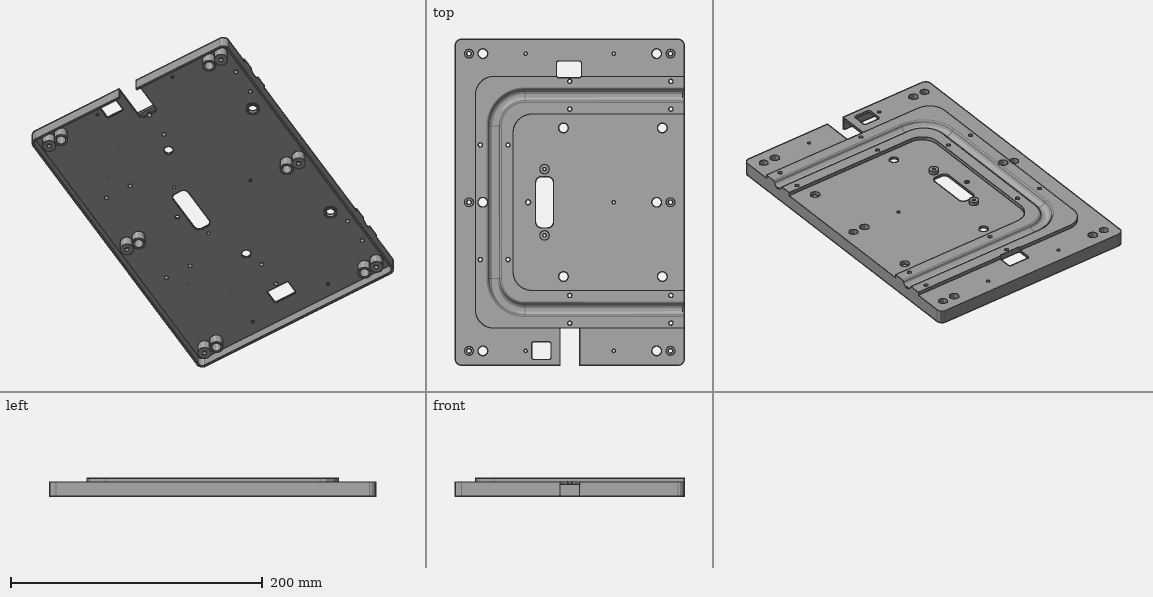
import cadquery as cq
import math

LENGTH = 182.0
WIDTH = 259.0
TRAY_HEIGHT = 11.5
DECK_THICKNESS = 2.0
WALL_THICKNESS = 1.5
CORNER_RADIUS = 5.0
X_END = LENGTH / 2
DECK_UNDERSIDE = TRAY_HEIGHT - DECK_THICKNESS

TRACK_HEIGHT = 3.0
TRACK_TOP = TRAY_HEIGHT + TRACK_HEIGHT
TRACK_WIDTH = 30.0
TRACK_CORNER_RADIUS = 15.0
TRACK_X = -60.0
TRACK_Y = 85.0
GROOVE_HALF_WIDTH = 4.4
GROOVE_DEPTH = 4.5
GROOVE_LIP_RADIUS = 1.3
GROOVE_BEND_RADIUS = 24.3

TRACK_HOLE_DIAMETER = 3.2
TRACK_HOLE_OFFSET = 11.0
TRACK_HOLE_XS = (0.0, 80.3)
TRACK_HOLE_Y = 45.5

SCREW_X = 80.0
LOCATING_X = 69.0
STATION_YS = (-118.0, 0.0, 118.0)
LOCATING_DIAMETER = 7.5
SCREW_DIAMETER = 3.5
COUNTERBORE_DIAMETER = 7.0
COUNTERBORE_DEPTH = 7.5
POST_DIAMETER = 10.5

PILOT_DIAMETER = 2.5
PILOT_POINTS = [(-35, 118), (35, 118), (-35, -118), (35, -118), (35, 0)]
CENTRE_HOLE_DIAMETER = 3.8
CENTRE_HOLE_X = -33.0
ACCESS_DIAMETER = 7.5
ACCESS_PLAIN_X = -5.0
ACCESS_BOSS_X = 73.5
ACCESS_Y = 59.0
ACCESS_BOSS_DIAMETER = 10.5
ACCESS_BOSS_DEPTH = 3.5

WINDOW_X = -20.0
WINDOW_WIDTH = 14.0
WINDOW_LENGTH = 40.5
WINDOW_CORNER_RADIUS = 4.5
STANDOFF_Y = 26.3
STANDOFF_DIAMETER = 7.5
STANDOFF_HEIGHT = TRACK_HEIGHT
STANDOFF_HOLE_DIAMETER = 2.5

UPPER_PORT = (-10.5, 9.2, 99.0, 112.0)
LOWER_PORT = (-30.1, -15.0, -124.8, -110.8)
PORT_CORNER_RADIUS = 1.5

NOTCH_Y_MAX = -96.5
NOTCH_CORNER_RADIUS = 3.0
NOTCH_X_MIN = -7.7
NOTCH_X_MAX = 7.9


def u_block(x_min, half_width, radius, z_min, height):
    """Block reaching the +X end, with its two -X corners rounded."""
    block = cq.Workplane("XY").box(X_END - x_min, 2 * half_width, height, centered=(False, True, False))
    return block.edges("|Z and <X").fillet(radius).translate((x_min, 0, z_min))


def prism(x_min, x_max, y_min, y_max):
    """Rectangular cutter through the whole height."""
    cutter = cq.Workplane("XY").box(x_max - x_min, y_max - y_min, TRACK_TOP, centered=False)
    return cutter.translate((x_min, y_min, 0))


def cylinders(points, diameter, z_min, z_max):
    """Upright cylinders at the given points."""
    plane = cq.Workplane("XY").workplane(offset=z_min)
    return plane.pushPoints(points).circle(diameter / 2).extrude(z_max - z_min)


def make_tray():
    outer = cq.Workplane("XY").box(LENGTH, WIDTH, TRAY_HEIGHT, centered=(True, True, False))
    outer = outer.edges("|Z").fillet(CORNER_RADIUS)
    inner = cq.Workplane("XY").box(
        LENGTH - 2 * WALL_THICKNESS, WIDTH - 2 * WALL_THICKNESS, DECK_UNDERSIDE, centered=(True, True, False)
    )
    inner = inner.edges("|Z").fillet(CORNER_RADIUS - WALL_THICKNESS)
    return outer.cut(inner)


def make_track():
    half = TRACK_WIDTH / 2
    outer = u_block(TRACK_X - half, TRACK_Y + half, TRACK_CORNER_RADIUS, TRAY_HEIGHT, TRACK_HEIGHT)
    inner = u_block(TRACK_X + half, TRACK_Y - half, TRACK_CORNER_RADIUS, TRAY_HEIGHT, TRACK_HEIGHT)
    return outer.cut(inner)


def groove_path():
    """Centre line of the groove along the top of the track."""
    bend_x = TRACK_X + GROOVE_BEND_RADIUS
    bend_y = TRACK_Y - GROOVE_BEND_RADIUS
    mid = GROOVE_BEND_RADIUS * math.sqrt(0.5)
    return (
        cq.Workplane("XY", origin=(0, 0, TRACK_TOP))
        .moveTo(X_END, TRACK_Y)
        .lineTo(bend_x, TRACK_Y)
        .threePointArc((bend_x - mid, bend_y + mid), (TRACK_X, bend_y))
        .lineTo(TRACK_X, -bend_y)
        .threePointArc((bend_x - mid, -bend_y - mid), (bend_x, -TRACK_Y))
        .lineTo(X_END, -TRACK_Y)
    )


def make_groove():
    """Cutter for the rounded channel, whose lips flare out through a small radius."""
    half = GROOVE_HALF_WIDTH
    lip = GROOVE_LIP_RADIUS
    bow = lip * (1 - math.sqrt(0.5))
    section = (
        cq.Workplane("YZ", origin=(X_END, TRACK_Y, TRACK_TOP))
        .moveTo(-half - lip, 0)
        .threePointArc((-half - bow, -bow), (-half, -lip))
        .threePointArc((0, -GROOVE_DEPTH), (half, -lip))
        .threePointArc((half + bow, -bow), (half + lip, 0))
        .close()
    )
    return section.sweep(groove_path())


def add_mounting_stations(body):
    screws = [(side * SCREW_X, y) for side in (-1, 1) for y in STATION_YS]
    locators = [(side * LOCATING_X, y) for side in (-1, 1) for y in STATION_YS]
    body = body.union(cylinders(screws + locators, POST_DIAMETER, 0, TRAY_HEIGHT))
    body = body.cut(cylinders(screws, SCREW_DIAMETER, 0, TRACK_TOP))
    body = body.cut(cylinders(screws, COUNTERBORE_DIAMETER, TRAY_HEIGHT - COUNTERBORE_DEPTH, TRACK_TOP))
    return body.cut(cylinders(locators, LOCATING_DIAMETER, 0, TRACK_TOP))


def cut_track_holes(body):
    offsets = (-TRACK_HOLE_OFFSET, TRACK_HOLE_OFFSET)
    points = [(x, side * (TRACK_Y + d)) for x in TRACK_HOLE_XS for side in (-1, 1) for d in offsets]
    points += [(TRACK_X + d, side * TRACK_HOLE_Y) for side in (-1, 1) for d in offsets]
    return body.cut(cylinders(points, TRACK_HOLE_DIAMETER, 0, TRACK_TOP))


def cut_deck_holes(body):
    body = body.cut(cylinders(PILOT_POINTS, PILOT_DIAMETER, 0, TRACK_TOP))
    return body.cut(cylinders([(CENTRE_HOLE_X, 0)], CENTRE_HOLE_DIAMETER, 0, TRACK_TOP))


def add_access_holes(body):
    """Four access holes; the +X pair runs on through bosses under the deck."""
    bossed = [(ACCESS_BOSS_X, side * ACCESS_Y) for side in (-1, 1)]
    plain = [(ACCESS_PLAIN_X, side * ACCESS_Y) for side in (-1, 1)]
    body = body.union(cylinders(bossed, ACCESS_BOSS_DIAMETER, TRAY_HEIGHT - ACCESS_BOSS_DEPTH, TRAY_HEIGHT))
    return body.cut(cylinders(bossed + plain, ACCESS_DIAMETER, 0, TRACK_TOP))


def add_window(body):
    """Slotted window with a drilled standoff beyond each end."""
    x_min = WINDOW_X - WINDOW_WIDTH / 2
    window = prism(x_min, x_min + WINDOW_WIDTH, -WINDOW_LENGTH / 2, WINDOW_LENGTH / 2)
    body = body.cut(window.edges("|Z").fillet(WINDOW_CORNER_RADIUS))
    standoffs = [(WINDOW_X, -STANDOFF_Y), (WINDOW_X, STANDOFF_Y)]
    body = body.union(cylinders(standoffs, STANDOFF_DIAMETER, DECK_UNDERSIDE, TRAY_HEIGHT + STANDOFF_HEIGHT))
    return body.cut(cylinders(standoffs, STANDOFF_HOLE_DIAMETER, 0, TRACK_TOP))


def cut_ports(body):
    for port in (UPPER_PORT, LOWER_PORT):
        body = body.cut(prism(*port).edges("|Z").fillet(PORT_CORNER_RADIUS))
    return body


def make_notch():
    """Cutter through the -Y skirt and the deck, running in beneath the track."""
    length = NOTCH_Y_MAX + WIDTH / 2
    notch = cq.Workplane("XY").box(NOTCH_X_MAX - NOTCH_X_MIN, length, TRAY_HEIGHT, centered=False)
    notch = notch.edges("|Z and >Y").fillet(NOTCH_CORNER_RADIUS)
    return notch.translate((NOTCH_X_MIN, -WIDTH / 2, 0))


body = make_tray().union(make_track()).cut(make_groove())
body = add_mounting_stations(body)
body = cut_track_holes(body)
body = cut_deck_holes(body)
body = add_access_holes(body)
body = add_window(body)
body = cut_ports(body)
result = body.cut(make_notch())